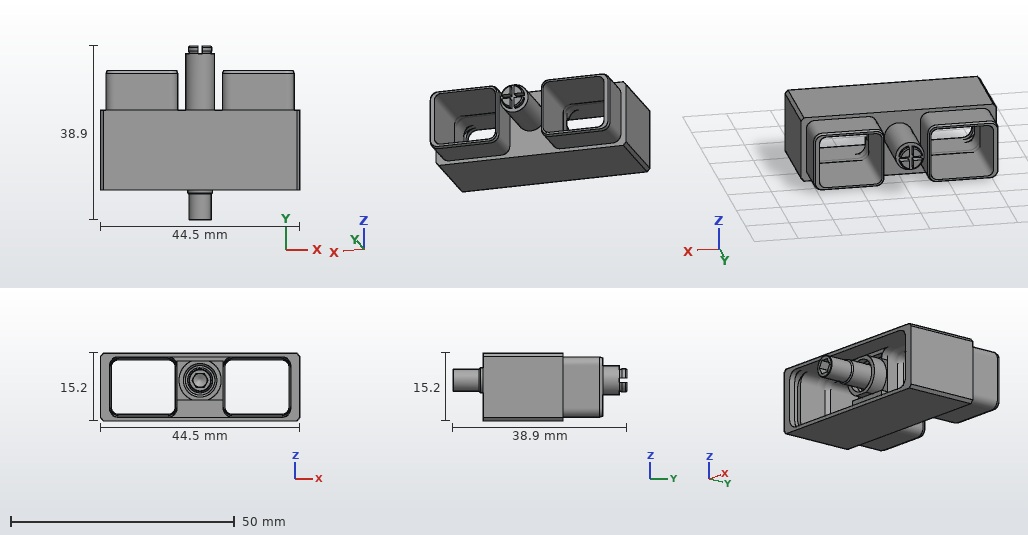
import cadquery as cq
import math


housing_width = 44.5
housing_depth = 17.85
housing_height = 15.17
housing_chamfer_x = 0.65
housing_chamfer_z = 0.75

pocket_width = 40.55
pocket_height = 13.55
pocket_depth = 5.6
pocket_corner_radius = 2.2
groove_start = 1.45
groove_end = 3.2
groove_depth = 1.1

block_width = 16.05
block_height = pocket_height
block_end = 26.75
block_offset = 13.0
block_corner_radius = 1.95
block_tip_inset = 0.25
block_tip_length = 0.75

bridge_width = 10.25
window_width = (pocket_width - bridge_width) / 2
window_offset = (pocket_width + bridge_width) / 4
neck_height = 12.9
neck_corner_radius = 2.4
floor_slope_start = 8.05
floor_slope_end = 9.5
lip_width = 14.25
lip_height = 12.05
lip_corner_radius = 1.5
lip_slope_start = 10.3
lip_slope_end = 11.53

axis_z = 1.5
channel_height = 8.7
channel_depth = 1.8
boss_radius = 4.7
boss_front = 3.85
bore_radius = 3.75
bore_depth = 1.8
seat_radius = 3.3
seat_length = 0.45

sleeve_radius = 3.25
sleeve_end = 30.45
shank_radius = 2.5
shank_front = -6.7
shank_edge_chamfer = 0.15
collar_radius = 2.8
collar_front = -0.9
collar_chamfer = 0.25
tip_radius = 2.65
tip_end = 32.17
tip_chamfer_radial = 0.25
tip_chamfer_length = 0.35
tip_taper_length = 0.62
tip_slot_width = 0.95
hex_across_flats = 3.1
hex_depth = 2.65
hex_point_depth = 0.9


def section(y, x=0.0, z=0.0):
    """Workplane across the plug at depth y; extrude backwards (negative) to go towards +Y."""
    plane = cq.Plane(origin=(x, y, z), xDir=(1, 0, 0), normal=(0, -1, 0))
    return cq.Workplane(plane)


def bar(width, height, start, end, x=0.0, z=0.0):
    """Rectangular bar along Y."""
    return section(start, x, z).rect(width, height).extrude(start - end)


def rounded_bar(width, height, radius, start, end, x=0.0):
    """Bar along Y with rounded lengthwise edges."""
    return bar(width, height, start, end, x).edges("|Y").fillet(radius)


def rounded_outline(width, height, radius):
    """Rounded rectangle centred on the origin."""
    return cq.Sketch().rect(width, height).vertices().fillet(radius)


def tapered_bar(front, back, start, end, x):
    """Bar along Y that blends from the front outline into the back one."""
    back_outline = back.moved(cq.Location(cq.Vector(0, 0, start - end)))
    return section(start, x).placeSketch(front, back_outline).loft()


def rod(radius, start, end):
    """Round rod on the guide axis."""
    return section(start, z=axis_z).circle(radius).extrude(start - end)


def turned(profile):
    """Solid of revolution about the guide axis from (radius, y) points."""
    outline = cq.Workplane("XY", origin=(0, 0, axis_z)).polyline(profile).close()
    return outline.revolve(360, (0, 0, 0), (0, 1, 0))


def housing():
    half_width = housing_width / 2
    half_height = housing_height / 2
    inner_x = half_width - housing_chamfer_x
    inner_z = half_height - housing_chamfer_z
    outline = [
        (-inner_x, -half_height),
        (inner_x, -half_height),
        (half_width, -inner_z),
        (half_width, inner_z),
        (inner_x, half_height),
        (-inner_x, half_height),
        (-half_width, inner_z),
        (-half_width, -inner_z),
    ]
    return section(0).polyline(outline).close().extrude(-housing_depth)


def block(side):
    """Socket block with a slightly drawn-in tip; side is -1 or +1."""
    x = side * block_offset
    body = rounded_bar(block_width, block_height, block_corner_radius, pocket_depth, block_end, x)
    return body.faces(">Y").chamfer(block_tip_length, block_tip_inset)


def front_pocket():
    """Wide mouth down to the bridge, widened by the groove in its end walls."""
    mouth = rounded_bar(pocket_width, pocket_height, pocket_corner_radius, 0, pocket_depth)
    groove_width = pocket_width + 2 * groove_depth
    groove_radius = pocket_corner_radius + groove_depth
    groove = rounded_bar(groove_width, pocket_height, groove_radius, groove_start, groove_end)
    return mouth.union(groove)


def window(side):
    """Opening from the pocket through the socket block; side is -1 or +1."""
    x = side * window_offset
    mouth_outline = rounded_outline(window_width, pocket_height, pocket_corner_radius)
    neck_outline = rounded_outline(window_width, neck_height, neck_corner_radius)
    lip_outline = rounded_outline(lip_width, lip_height, lip_corner_radius)
    mouth = rounded_bar(window_width, pocket_height, pocket_corner_radius, groove_end, floor_slope_start, x)
    floor_slope = tapered_bar(mouth_outline, neck_outline, floor_slope_start, floor_slope_end, x)
    neck = rounded_bar(window_width, neck_height, neck_corner_radius, floor_slope_end, lip_slope_start, x)
    lip_slope = tapered_bar(neck_outline, lip_outline, lip_slope_start, lip_slope_end, x)
    lip = rounded_bar(lip_width, lip_height, lip_corner_radius, lip_slope_end, block_end, x)
    return mouth.union(floor_slope).union(neck).union(lip_slope).union(lip)


def channel():
    """Slot across the bridge, around the guide boss."""
    return bar(bridge_width, channel_height, pocket_depth, pocket_depth + channel_depth, z=axis_z)


def boss():
    """Guide boss, cut flat where it meets the channel height."""
    boss_end = pocket_depth + channel_depth
    limits = bar(2 * boss_radius, channel_height, boss_front, boss_end, z=axis_z)
    return rod(boss_radius, boss_front, boss_end).intersect(limits)


def boss_bore():
    """Bore around the screw, narrowing to a flat seat."""
    bore_end = boss_front + bore_depth
    return turned([
        (0, boss_front),
        (bore_radius, boss_front),
        (bore_radius, bore_end),
        (seat_radius, bore_end + seat_length),
        (0, bore_end + seat_length),
    ])


def screw():
    """Guide screw from its hexagon socket to the cross-slotted tip."""
    tip_end_radius = tip_radius - tip_chamfer_radial
    body = turned([
        (0, shank_front),
        (shank_radius - shank_edge_chamfer, shank_front),
        (shank_radius, shank_front + shank_edge_chamfer),
        (shank_radius, collar_front),
        (collar_radius, collar_front + collar_chamfer),
        (collar_radius, housing_depth),
        (tip_end_radius, sleeve_end),
        (tip_radius, sleeve_end + tip_taper_length),
        (tip_radius, tip_end - tip_chamfer_length),
        (tip_end_radius, tip_end),
        (0, tip_end),
    ])
    hex_across_corners = hex_across_flats / math.cos(math.pi / 6)
    socket = section(shank_front, z=axis_z).polygon(6, hex_across_corners).extrude(-hex_depth)
    socket_end = shank_front + hex_depth
    point = turned([
        (0, socket_end),
        (hex_across_flats / 2, socket_end),
        (0, socket_end + hex_point_depth),
    ])
    slot_across = bar(2 * tip_radius, tip_slot_width, sleeve_end, tip_end, z=axis_z)
    slot_upright = bar(tip_slot_width, 2 * tip_radius, sleeve_end, tip_end, z=axis_z)
    return body.cut(socket).cut(point).cut(slot_across).cut(slot_upright)


sides = (-1, 1)

shell = housing()
for side in sides:
    shell = shell.union(block(side))
shell = shell.cut(front_pocket())
for side in sides:
    shell = shell.cut(window(side))
shell = shell.cut(channel()).union(boss()).cut(boss_bore())

sleeve = rod(sleeve_radius, housing_depth, sleeve_end)
result = shell.union(sleeve).union(screw())